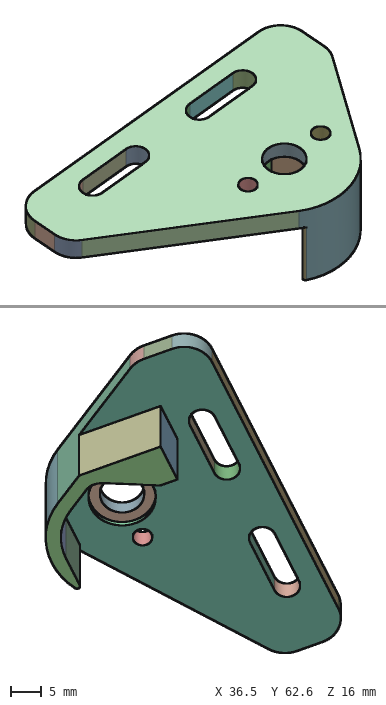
import cadquery as cq
import math

PLATE_LENGTH = 62.6
PLATE_THICKNESS = 4.0
CORNER_RADIUS = 5.0
TOP_EDGE_END = 10.0
BOTTOM_EDGE_END = 9.5

NOSE_X = 24.0
NOSE_Y = 39.0
NOSE_RADIUS = 12.5

MAIN_HOLE_DIAMETER = 7.25
RECESS_DIAMETER = 11.0
RECESS_DEPTH = 1.0
SCREW_HOLE_DIAMETER = 3.2
SCREW_HOLE_OFFSET = 8.5
SLOT_X = 6.0
SLOT_WIDTH = 4.4
SLOT_LENGTH = 14.5
SLOT_CENTRES_Y = (17.5, 42.55)

WALL_HEIGHT = 12.0
WALL_THICKNESS = 2.5
WALL_LEFT = 11.15
WALL_TOP = 53.0
WALL_FOOT_Y = 46.0
WALL_FOOT_WIDTH = 3.0
WALL_PEAK_X = 24.3
WALL_INNER_FILLET = 3.0
WALL_TIP_RADIUS = 0.5


def on_circle(centre, radius, angle):
    return (centre[0] + radius * math.cos(angle), centre[1] + radius * math.sin(angle))


def tangent_normal(start, start_radius, end, end_radius):
    """Direction of the outward normal on the right-hand line touching both circles."""
    dx = end[0] - start[0]
    dy = end[1] - start[1]
    taper = math.asin((end_radius - start_radius) / math.hypot(dx, dy))
    return math.atan2(dy, dx) - math.pi / 2 - taper


nose = (NOSE_X, NOSE_Y)
bottom_corner = (BOTTOM_EDGE_END, CORNER_RADIUS)
top_corner = (TOP_EDGE_END, PLATE_LENGTH - CORNER_RADIUS)
lower_normal = tangent_normal(bottom_corner, CORNER_RADIUS, nose, NOSE_RADIUS)
upper_normal = tangent_normal(nose, NOSE_RADIUS, top_corner, CORNER_RADIUS)


def make_plate():
    bottom_mid = (lower_normal - math.pi / 2) / 2
    top_mid = (upper_normal + math.pi / 2) / 2
    plate = (
        cq.Workplane("XY")
        .moveTo(0, 0)
        .lineTo(BOTTOM_EDGE_END, 0)
        .threePointArc(
            on_circle(bottom_corner, CORNER_RADIUS, bottom_mid),
            on_circle(bottom_corner, CORNER_RADIUS, lower_normal),
        )
        .lineTo(*on_circle(nose, NOSE_RADIUS, lower_normal))
        .threePointArc(
            on_circle(nose, NOSE_RADIUS, 0),
            on_circle(nose, NOSE_RADIUS, upper_normal),
        )
        .lineTo(*on_circle(top_corner, CORNER_RADIUS, upper_normal))
        .threePointArc(
            on_circle(top_corner, CORNER_RADIUS, top_mid),
            (TOP_EDGE_END, PLATE_LENGTH),
        )
        .lineTo(0, PLATE_LENGTH)
        .close()
        .extrude(PLATE_THICKNESS)
    )
    return plate.edges("|Z and <X").fillet(CORNER_RADIUS)


def make_openings():
    main_hole = cq.Workplane("XY").center(*nose).circle(MAIN_HOLE_DIAMETER / 2)
    recess = cq.Workplane("XY").center(*nose).circle(RECESS_DIAMETER / 2)
    screw_holes = (
        cq.Workplane("XY")
        .pushPoints([(NOSE_X, NOSE_Y + side * SCREW_HOLE_OFFSET) for side in (-1, 1)])
        .circle(SCREW_HOLE_DIAMETER / 2)
    )
    slots = (
        cq.Workplane("XY")
        .pushPoints([(SLOT_X, y) for y in SLOT_CENTRES_Y])
        .slot2D(SLOT_LENGTH, SLOT_WIDTH, 90)
    )
    openings = main_hole.extrude(PLATE_THICKNESS)
    openings = openings.union(recess.extrude(RECESS_DEPTH))
    openings = openings.union(screw_holes.extrude(PLATE_THICKNESS))
    return openings.union(slots.extrude(PLATE_THICKNESS))


def make_wall():
    inner_radius = NOSE_RADIUS - WALL_THICKNESS

    inner_start = on_circle(nose, inner_radius, upper_normal)
    peak = (WALL_PEAK_X, inner_start[1] + (inner_start[0] - WALL_PEAK_X) / math.tan(upper_normal))

    edge_start = on_circle(nose, NOSE_RADIUS, upper_normal)
    top_right_x = edge_start[0] - (WALL_TOP - edge_start[1]) * math.tan(upper_normal)

    tip_x = NOSE_X + inner_radius + WALL_TIP_RADIUS
    tip_drop = math.sqrt((NOSE_RADIUS - WALL_TIP_RADIUS) ** 2 - (tip_x - NOSE_X) ** 2)
    tip = (tip_x, NOSE_Y - tip_drop)
    tip_angle = math.atan2(-tip_drop, tip_x - NOSE_X)

    wall = (
        cq.Workplane("XY")
        .moveTo(WALL_LEFT, WALL_FOOT_Y)
        .lineTo(WALL_LEFT + WALL_FOOT_WIDTH, WALL_FOOT_Y)
        .lineTo(*peak)
        .lineTo(*inner_start)
        .threePointArc(
            on_circle(nose, inner_radius, upper_normal / 2),
            on_circle(nose, inner_radius, 0),
        )
        .lineTo(tip[0] - WALL_TIP_RADIUS, tip[1])
        .threePointArc(
            on_circle(tip, WALL_TIP_RADIUS, (tip_angle - math.pi) / 2),
            on_circle(tip, WALL_TIP_RADIUS, tip_angle),
        )
        .threePointArc(on_circle(nose, NOSE_RADIUS, 0), edge_start)
        .lineTo(top_right_x, WALL_TOP)
        .lineTo(WALL_LEFT, WALL_TOP)
        .close()
        .extrude(-WALL_HEIGHT)
    )
    peak_edge = cq.selectors.NearestToPointSelector((*peak, -WALL_HEIGHT / 2))
    return wall.edges("|Z").edges(peak_edge).fillet(WALL_INNER_FILLET)


result = make_plate().cut(make_openings()).union(make_wall())